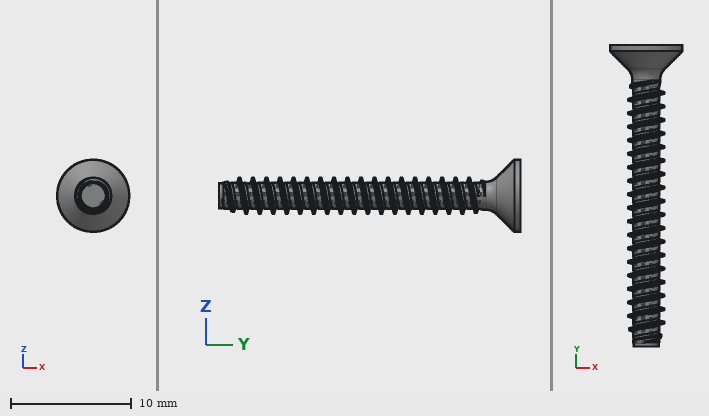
import cadquery as cq
import math

LENGTH = 25.0

HEAD_RADIUS = 3.0
HEAD_RIM = 0.52
HEAD_CONE_ANGLE = math.radians(45)
NECK_RADIUS = 1.17
NECK_FILLET = 1.25
NECK_END = 3.1
NECK_TAPER = 0.5

CORE_RADIUS = 1.05
CREST_RADIUS = 1.5
PITCH = 1.12
TURNS = 20
THREAD_START = 2.86
ROOT_OVERLAP = 0.08
ROOT_WIDTH = 0.36
FLANK_RADIUS = 1.19
FLANK_WIDTH = 0.2
CREST_WIDTH = 0.07

LAND_RADIUS = 1.09
GROOVE_WIDTH = 0.46

RUN_IN_START = 2.95
RUN_IN_END = 3.9
RUN_OUT_START = 23.3
RUN_OUT_END = 24.75
CUTTER_RADIUS = 2.0
CUTTER_MARGIN = 1.0


def make_body():
    """Head, filleted neck and plain thread core as one revolved outline."""
    fillet_start_radius = NECK_RADIUS + NECK_FILLET * (1 - math.cos(HEAD_CONE_ANGLE))
    cone_length = (HEAD_RADIUS - fillet_start_radius) / math.tan(HEAD_CONE_ANGLE)
    fillet_start = HEAD_RIM + cone_length
    fillet_end = fillet_start + NECK_FILLET * math.sin(HEAD_CONE_ANGLE)
    middle_angle = HEAD_CONE_ANGLE / 2
    fillet_middle = (
        NECK_RADIUS + NECK_FILLET * (1 - math.cos(middle_angle)),
        fillet_end - NECK_FILLET * math.sin(middle_angle),
    )
    return (
        cq.Workplane("XZ")
        .moveTo(0, 0)
        .lineTo(HEAD_RADIUS, 0)
        .lineTo(HEAD_RADIUS, HEAD_RIM)
        .lineTo(fillet_start_radius, fillet_start)
        .threePointArc(fillet_middle, (NECK_RADIUS, fillet_end))
        .lineTo(NECK_RADIUS, NECK_END)
        .lineTo(CORE_RADIUS, NECK_END + NECK_TAPER)
        .lineTo(CORE_RADIUS, LENGTH)
        .lineTo(0, LENGTH)
        .close()
        .revolve(360, (0, 0, 0), (0, 1, 0))
    )


def make_trim_cutter(crest_depth, foot_radius, foot_depth, end_depth):
    """Ring outside the cone through the crest at crest_depth and the foot.

    From the foot the cutter closes inward to the axis and runs on to end_depth.
    """
    depth_per_radius = (crest_depth - foot_depth) / (CREST_RADIUS - foot_radius)
    outer_depth = crest_depth + depth_per_radius * (CUTTER_RADIUS - CREST_RADIUS)
    return (
        cq.Workplane("XZ")
        .moveTo(CUTTER_RADIUS, outer_depth)
        .lineTo(foot_radius, foot_depth)
        .lineTo(0, foot_depth)
        .lineTo(0, end_depth)
        .lineTo(CUTTER_RADIUS, end_depth)
        .close()
        .revolve(360, (0, 0, 0), (0, 1, 0))
    )


def make_thread():
    """Right-hand thread with its land, trimmed to cones at both ends."""
    inner_radius = CORE_RADIUS - ROOT_OVERLAP
    root_spread = (ROOT_WIDTH - FLANK_WIDTH) / (FLANK_RADIUS - LAND_RADIUS)
    inner_width = ROOT_WIDTH + root_spread * (LAND_RADIUS - inner_radius)
    land_end = THREAD_START + PITCH - GROOVE_WIDTH
    outline = [
        (inner_radius, THREAD_START - inner_width / 2),
        (FLANK_RADIUS, THREAD_START - FLANK_WIDTH / 2),
        (CREST_RADIUS, THREAD_START - CREST_WIDTH / 2),
        (CREST_RADIUS, THREAD_START + CREST_WIDTH / 2),
        (FLANK_RADIUS, THREAD_START + FLANK_WIDTH / 2),
        (LAND_RADIUS, THREAD_START + ROOT_WIDTH / 2),
        (LAND_RADIUS, land_end),
        (inner_radius, land_end),
    ]
    helix = cq.Wire.makeHelix(PITCH, PITCH * TURNS, CORE_RADIUS)
    path = helix.translate(cq.Vector(0, 0, THREAD_START))
    thread = cq.Workplane("XZ").polyline(outline).close().sweep(path, isFrenet=True)

    run_in = make_trim_cutter(RUN_IN_END, NECK_RADIUS, RUN_IN_START, RUN_IN_START - CUTTER_MARGIN)
    run_out = make_trim_cutter(RUN_OUT_START, CORE_RADIUS, RUN_OUT_END, LENGTH + CUTTER_MARGIN)
    return thread.cut(run_in).cut(run_out)


screw = make_body().union(make_thread())
result = screw.rotate((0, 0, 0), (1, 0, 0), 90).solids()